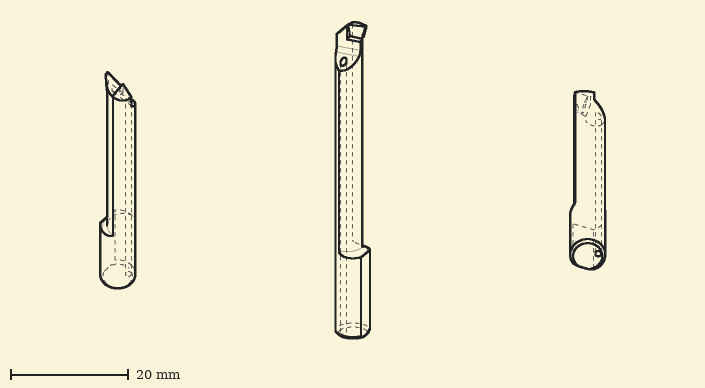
import cadquery as cq
import math

LENGTH = 57
SHANK_RADIUS = 2.99
SHANK_WIDTH = 5.35
FLAT_X = SHANK_RADIUS - SHANK_WIDTH
SHANK_LENGTH = 15.05
END_CHAMFER = 0.5

NECK_RADIUS = 2.7
NECK_X = 1.2
NECK_FILLET = 0.85

COOLANT_DIAMETER = 1.0
COOLANT_X = 1.0
COOLANT_Y = 1.55

RELIEF_Y = 0.15
RELIEF_CORNER_Z = 51.9
RELIEF_ANGLE = 43
RELIEF_RADIUS = 1.4

TIP_X = FLAT_X
TIP_Y = 0.05
TIP_BOTTOM_Z = 54.5
TIP_UNDERCUT = 0.9
TIP_LAND = 0.55
TIP_BACK_X = -0.77

GROOVE_DEPTH = 0.7
GROOVE_FLOOR_Z = 54.25
GROOVE_EDGE_Z = 54.05
GROOVE_LENGTH = 3.4
GROOVE_ANGLE = 4.5

END_DROP_X = math.tan(math.radians(6))
END_DROP_Y = math.tan(math.radians(10))
BEVEL_X = 1.0
BEVEL_DROP_X = 1.0
BEVEL_DROP_Y = 0.1

MARGIN = 6.85


def bar(length):
    """Shank outline as a prism standing on the XY plane."""
    round_bar = cq.Workplane("XY").circle(SHANK_RADIUS).extrude(length)
    flat_trim = cq.Workplane("XY").box(
        SHANK_WIDTH, 2 * MARGIN, length, centered=(False, True, False)
    )
    return round_bar.intersect(flat_trim.translate((FLAT_X, 0, 0)))


def shank():
    """Lower bar with a turned chamfer at the bottom end."""
    turned = cq.Workplane("XY").circle(SHANK_RADIUS).extrude(SHANK_LENGTH)
    return bar(SHANK_LENGTH).intersect(turned.faces("<Z").chamfer(END_CHAMFER))


def neck():
    """Offset round that flares into the shank through a concave fillet."""
    flare_radius = NECK_RADIUS + NECK_FILLET
    flare_top = SHANK_LENGTH + NECK_FILLET
    fillet_leg = NECK_FILLET * math.sqrt(0.5)
    turned = (
        cq.Workplane("XZ")
        .lineTo(flare_radius, 0)
        .lineTo(flare_radius, SHANK_LENGTH)
        .threePointArc(
            (flare_radius - fillet_leg, flare_top - fillet_leg),
            (NECK_RADIUS, flare_top),
        )
        .lineTo(NECK_RADIUS, LENGTH)
        .lineTo(0, LENGTH)
        .close()
        .revolve(360, (0, 0, 0), (0, 1, 0))
        .translate((NECK_X, 0, 0))
    )
    return turned.intersect(bar(LENGTH))


def relief_cutter():
    """Flat relief with a rounded run-out ramp toward +Y."""
    ramp_drop = MARGIN / math.tan(math.radians(RELIEF_ANGLE))
    cutter = (
        cq.Workplane("YZ")
        .moveTo(RELIEF_Y, LENGTH + MARGIN)
        .lineTo(RELIEF_Y, RELIEF_CORNER_Z)
        .lineTo(RELIEF_Y + MARGIN, RELIEF_CORNER_Z - ramp_drop)
        .lineTo(RELIEF_Y + MARGIN, LENGTH + MARGIN)
        .close()
        .extrude(MARGIN, both=True)
    )
    corner = cq.selectors.NearestToPointSelector((0, RELIEF_Y, RELIEF_CORNER_Z))
    return cutter.edges(corner).fillet(RELIEF_RADIUS)


def cutting_tip():
    """Undercut tooth that reaches out from the neck to the -X side."""
    back_y = -math.sqrt(NECK_RADIUS**2 - (TIP_BACK_X - NECK_X) ** 2)
    flank = (
        cq.Workplane("XZ")
        .polyline([
            (TIP_X, LENGTH),
            (TIP_X + TIP_UNDERCUT, TIP_BOTTOM_Z),
            (NECK_X, TIP_BOTTOM_Z),
            (NECK_X, LENGTH),
        ])
        .close()
        .extrude(MARGIN, both=True)
    )
    outline = (
        cq.Workplane("XY")
        .polyline([
            (TIP_X, TIP_Y),
            (TIP_X, TIP_Y - TIP_LAND),
            (TIP_BACK_X, back_y),
            (NECK_X, back_y),
            (NECK_X, TIP_Y),
        ])
        .close()
        .extrude(LENGTH)
    )
    return flank.intersect(outline)


def groove_cutter():
    """Wedge that undercuts the rake face, turned to deepen toward +X."""
    return (
        cq.Workplane("YZ")
        .polyline([
            (0, LENGTH),
            (-GROOVE_DEPTH, GROOVE_FLOOR_Z),
            (RELIEF_Y, GROOVE_EDGE_Z),
            (MARGIN, GROOVE_EDGE_Z),
            (MARGIN, LENGTH),
        ])
        .close()
        .extrude(GROOVE_LENGTH)
        .rotate((0, 0, 0), (0, 0, 1), -GROOVE_ANGLE)
        .translate((TIP_X, TIP_Y, 0))
    )


def end_drop(x):
    """Height lost by the end face between the tip and x, at the tip's Y."""
    return END_DROP_X * (x - TIP_X)


def above_plane(point, drop_x, drop_y):
    """Block above a plane that falls by drop_x toward +X and drop_y toward -Y."""
    plane = cq.Plane(origin=point, normal=(drop_x, -drop_y, 1))
    return cq.Workplane(plane).rect(4 * MARGIN, 4 * MARGIN).extrude(MARGIN)


end_face = above_plane((TIP_X, TIP_Y, LENGTH), END_DROP_X, END_DROP_Y)
bevel_start = (BEVEL_X, TIP_Y, LENGTH - end_drop(BEVEL_X))
bevel = above_plane(bevel_start, BEVEL_DROP_X, BEVEL_DROP_Y)
coolant_hole = (
    cq.Workplane("XY")
    .center(COOLANT_X, COOLANT_Y)
    .circle(COOLANT_DIAMETER / 2)
    .extrude(LENGTH)
)

result = (
    shank()
    .union(neck().cut(cq.Workplane("XY").circle(MARGIN).extrude(SHANK_LENGTH)))
    .cut(relief_cutter())
    .union(cutting_tip())
    .cut(groove_cutter())
    .cut(end_face)
    .cut(bevel)
    .cut(coolant_hole)
)